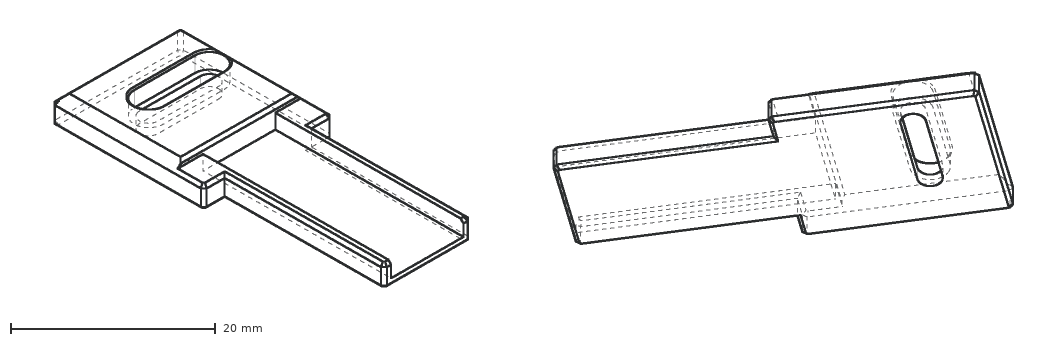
import cadquery as cq

TOTAL_LENGTH = 43.0
HEAD_LENGTH = 21.0
HEAD_WIDTH = 17.8
TAIL_WIDTH = 12.0
PLATE_THICKNESS = 3.0
EDGE_CHAMFER = 0.4

PAD_LENGTH = 17.0
PAD_HEIGHT = 0.8
PAD_TOP = PLATE_THICKNESS + PAD_HEIGHT

CHANNEL_WIDTH = 10.0
CHANNEL_FLOOR = 1.0

SLOT_X = 7.1
SLOT_Y = 1.6
SLOT_CENTRE_DISTANCE = 8.4
SLOT_WIDTH = 2.5
RECESS_WIDTH = 4.0
RECESS_FLOOR = 1.5
RECESS_CHAMFER = 0.2


def block(start, end, width, bottom, top):
    """Box between two X positions and two heights, centred on Y."""
    return (
        cq.Workplane("XY")
        .box(end - start, width, top - bottom, centered=(False, True, False))
        .translate((start, 0, bottom))
    )


def make_plate():
    """T-shaped plate with its outer corners and rims chamfered."""
    head = block(0, HEAD_LENGTH, HEAD_WIDTH, 0, PLATE_THICKNESS)
    head = head.edges("|Z").chamfer(EDGE_CHAMFER)
    tail = block(HEAD_LENGTH / 2, TOTAL_LENGTH, TAIL_WIDTH, 0, PLATE_THICKNESS)
    tail = tail.edges("|Z and >X").chamfer(EDGE_CHAMFER)
    plate = head.union(tail)
    return plate.faces("<Z or >Z").edges().chamfer(EDGE_CHAMFER)


def make_pad():
    """Raised pad: a truncated pyramid cut off square, with a small chamfer facing the tail."""
    foot_length = HEAD_LENGTH - 2 * EDGE_CHAMFER
    foot_width = HEAD_WIDTH - 2 * EDGE_CHAMFER
    pyramid = (
        cq.Workplane("XY", origin=(HEAD_LENGTH / 2, 0, PLATE_THICKNESS))
        .rect(foot_length, foot_width)
        .workplane(offset=PAD_HEIGHT)
        .rect(foot_length - 2 * PAD_HEIGHT, foot_width - 2 * PAD_HEIGHT)
        .loft(ruled=True)
    )
    pad_end = block(0, PAD_LENGTH, HEAD_WIDTH, PLATE_THICKNESS, PAD_TOP)
    pad_end = pad_end.edges(">X and >Z").chamfer(EDGE_CHAMFER)
    return pyramid.intersect(pad_end)


def make_channel():
    """Cutter for the open channel along the tail."""
    return block(PAD_LENGTH, TOTAL_LENGTH, CHANNEL_WIDTH, CHANNEL_FLOOR, PLATE_THICKNESS)


def slot_prism(width, bottom, top):
    """Upright round-ended prism at the slot position."""
    return (
        cq.Workplane("XY", origin=(SLOT_X, SLOT_Y, bottom))
        .slot2D(SLOT_CENTRE_DISTANCE + width, width, 90)
        .extrude(top - bottom)
    )


def make_slot():
    """Cutter for the through slot and its chamfered recess."""
    through = slot_prism(SLOT_WIDTH, 0, PAD_TOP)
    recess = slot_prism(RECESS_WIDTH, RECESS_FLOOR, PAD_TOP)
    rim = (
        slot_prism(RECESS_WIDTH + 2 * RECESS_CHAMFER, RECESS_FLOOR, PAD_TOP)
        .faces("<Z").chamfer(RECESS_CHAMFER)
        .translate((0, 0, PAD_TOP - RECESS_CHAMFER - RECESS_FLOOR))
    )
    return through.union(recess).union(rim)


result = make_plate().union(make_pad()).cut(make_channel()).cut(make_slot())